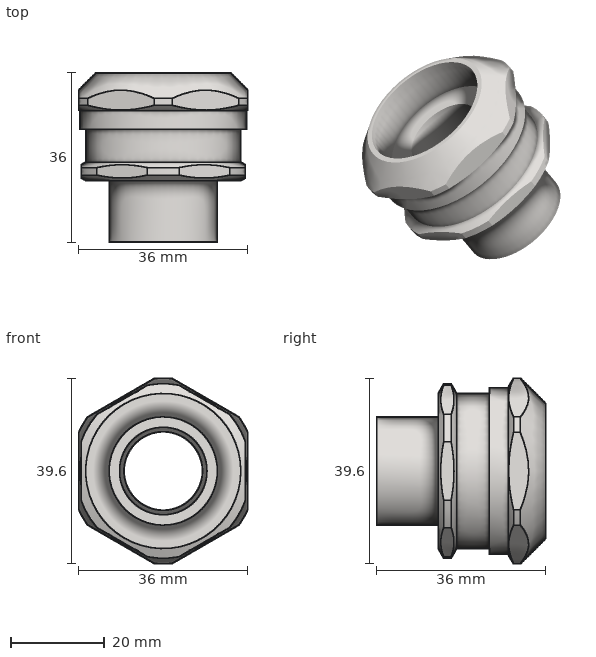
import cadquery as cq
import math

tube_end = 13.05
locknut_end = 17.0
body_end = 23.98
collar_end = 27.95
total_length = 35.95

tube_diameter = 23.03
body_diameter = 33.0
collar_diameter = 35.5

locknut_flats = 34.98
locknut_corners = 37.1
nut_flats = 36.0
nut_corners = 39.57

chamfer_angle = math.radians(30)
nut_rear_diameter = 28.73

through_diameter = 16.65
tube_bore_diameter = 18.65
tube_bore_depth = locknut_end
nut_bore_diameter = 26.5
nut_bore_depth = total_length - collar_end


def cylinder(diameter, start, end):
    """Cylinder on the Y axis between two stations."""
    plane = cq.Plane(origin=(0, start, 0), xDir=(1, 0, 0), normal=(0, 1, 0))
    return cq.Workplane(plane).circle(diameter / 2).extrude(end - start)


def turned_hexagon(flats, corners, front, rear, start, end, rear_chamfer):
    """Hexagon with corners up and down, trimmed by a turned profile with tapered ends.

    front and rear are the end-face diameters; the rear taper is rear_chamfer long.
    """
    plane = cq.Plane(origin=(0, start, 0), xDir=(0, 0, 1), normal=(0, 1, 0))
    across_corners = flats / math.cos(math.pi / 6)
    prism = cq.Workplane(plane).polygon(6, across_corners).extrude(end - start)
    front_chamfer = (corners - front) / 2 * math.tan(chamfer_angle)
    envelope = (
        cq.Workplane("XY")
        .moveTo(0, start)
        .lineTo(front / 2, start)
        .lineTo(corners / 2, start + front_chamfer)
        .lineTo(corners / 2, end - rear_chamfer)
        .lineTo(rear / 2, end)
        .lineTo(0, end)
        .close()
        .revolve(360, (0, 0, 0), (0, 1, 0))
    )
    return prism.intersect(envelope)


tube = cylinder(tube_diameter, 0, tube_end)
body = cylinder(body_diameter, locknut_end, body_end)
collar = cylinder(collar_diameter, body_end, collar_end)

locknut_chamfer = (locknut_corners - body_diameter) / 2 * math.tan(chamfer_angle)
locknut = turned_hexagon(
    locknut_flats, locknut_corners, body_diameter, body_diameter, tube_end, locknut_end, locknut_chamfer
)

nut_taper = (nut_corners - nut_rear_diameter) / 2
nut = turned_hexagon(
    nut_flats, nut_corners, collar_diameter, nut_rear_diameter, collar_end, total_length, nut_taper
)

through_bore = cylinder(through_diameter, 0, total_length)
tube_bore = cylinder(tube_bore_diameter, 0, tube_bore_depth)
nut_bore = cylinder(nut_bore_diameter, total_length - nut_bore_depth, total_length)

solid = tube.union(locknut).union(body).union(collar).union(nut)
fitting = solid.cut(through_bore).cut(tube_bore).cut(nut_bore)
result = fitting.translate((0, -total_length / 2, 0))